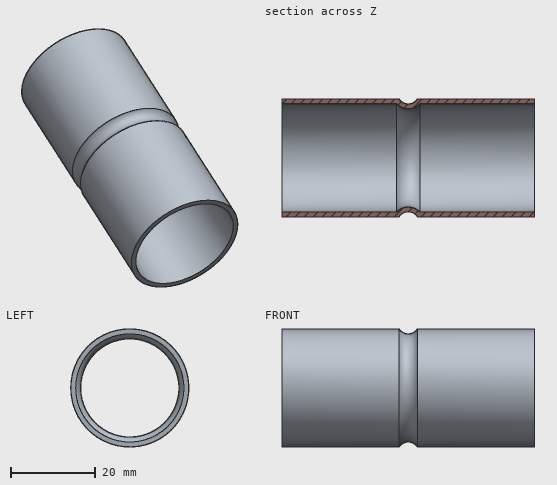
import cadquery as cq
import math

length = 60.0
outer_diameter = 28.1
wall = 1.2
groove_depth = 1.2
groove_width = 4.3

outer_radius = outer_diameter / 2
bore_radius = outer_radius - wall

groove_half_width = groove_width / 2
groove_arc_radius = (groove_half_width**2 + groove_depth**2) / (2 * groove_depth)
groove_center_height = outer_radius - groove_depth + groove_arc_radius

bead_arc_radius = groove_arc_radius + wall
bead_half_width = math.sqrt(bead_arc_radius**2 - (groove_center_height - bore_radius) ** 2)
bead_crest_radius = groove_center_height - bead_arc_radius


def make_sleeve():
    """Revolve the wall section, with its rolled-in middle, about X."""
    end = length / 2
    section = (
        cq.Workplane("XY")
        .moveTo(-end, bore_radius)
        .lineTo(-end, outer_radius)
        .lineTo(-groove_half_width, outer_radius)
        .threePointArc((0, outer_radius - groove_depth), (groove_half_width, outer_radius))
        .lineTo(end, outer_radius)
        .lineTo(end, bore_radius)
        .lineTo(bead_half_width, bore_radius)
        .threePointArc((0, bead_crest_radius), (-bead_half_width, bore_radius))
        .close()
    )
    return section.revolve(360, (0, 0, 0), (1, 0, 0))


result = make_sleeve()